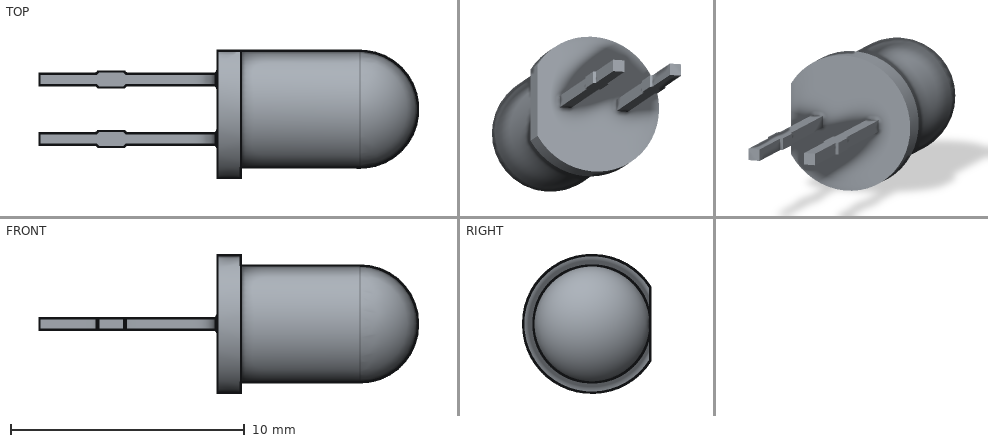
import cadquery as cq

body_diameter = 5.0
body_radius = body_diameter / 2
flange_diameter = 5.9
flange_thickness = 1.0
housing_length = 8.59
barrel_length = housing_length - body_radius

lead_width = 0.5
lead_length = 7.61
lead_pitch = 2.55
lead_sides = (1, -1)

stop_start = 2.43
stop_length = 1.28
stop_width = 0.7
stop_taper = 0.1

foot_reach = 0.68
foot_thickness = 0.35
foot_depth = 0.25

neck_width = 0.4
neck_corner_radius = 0.1
collar_radius = 0.23
neck_length = 2 * collar_radius
selection_margin = 0.02


def make_housing_blank():
    """Flange, barrel and dome, with the +Y side of the flange cut level with the barrel."""
    flange = cq.Workplane("YZ").circle(flange_diameter / 2).extrude(flange_thickness)
    flat_cutter = (
        cq.Workplane("XY")
        .box(flange_thickness, flange_diameter, flange_diameter, centered=(False, False, True))
        .translate((0, body_radius, 0))
    )
    barrel = cq.Workplane("YZ").circle(body_radius).extrude(barrel_length)
    front_half = cq.Workplane("XY").box(
        body_diameter, body_diameter, body_diameter, centered=(False, True, True)
    )
    dome = cq.Workplane("XY").sphere(body_radius).intersect(front_half)
    dome = dome.translate((barrel_length, 0, 0))
    return flange.cut(flat_cutter).union(barrel).union(dome)


def add_collar(housing, side):
    """Raise a rounded square neck on the rear face and fillet its root."""
    lead_y = side * lead_pitch / 2
    neck = (
        cq.Workplane("YZ")
        .center(lead_y, 0)
        .rect(neck_width, neck_width)
        .extrude(-neck_length)
        .edges("|X")
        .fillet(neck_corner_radius)
    )
    half_box = neck_width / 2 + selection_margin
    root_box = cq.selectors.BoxSelector(
        (-selection_margin, lead_y - half_box, -half_box),
        (selection_margin, lead_y + half_box, half_box),
        boundingbox=True,
    )
    return housing.union(neck).edges(root_box).fillet(collar_radius)


def make_lead(side):
    """Lead with its stop and foot; side is +1 or -1 for the side of the lamp axis along Y."""
    half_width = lead_width / 2
    half_stop = stop_width / 2
    stop_start_x = stop_start - lead_length
    stop_end_x = stop_start_x + stop_length
    edge = [
        (-lead_length, half_width),
        (stop_start_x, half_width),
        (stop_start_x + stop_taper, half_stop),
        (stop_end_x - stop_taper, half_stop),
        (stop_end_x, half_width),
        (foot_depth, half_width),
    ]
    mirrored_edge = [(x, -y) for x, y in reversed(edge)]
    bar = cq.Workplane("XY").polyline(edge + mirrored_edge).close().extrude(lead_width / 2, both=True)

    foot_outline = [
        (0, 0),
        (0, side * foot_reach),
        (foot_depth, side * (foot_reach + foot_depth)),
        (foot_depth, 0),
    ]
    foot = cq.Workplane("XY").polyline(foot_outline).close().extrude(foot_thickness / 2, both=True)
    return bar.union(foot).translate((0, side * lead_pitch / 2, 0))


leads = [make_lead(side) for side in lead_sides]

housing = make_housing_blank()
for side in lead_sides:
    housing = add_collar(housing, side)
for lead in leads:
    housing = housing.cut(lead)

result = cq.Compound.makeCompound([housing.val(), *[lead.val() for lead in leads]])